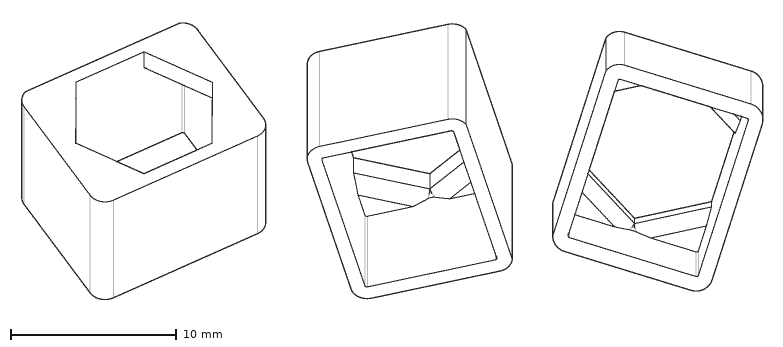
import cadquery as cq
import math

width = 10.02
length = 12.1
height = 9.3
corner_radius = 1.03
side_trim = 0.06

hex_across_flats = 8.25
hex_depth = 1.5

flare_height = 0.9

cavity_width = hex_across_flats
cavity_length = 10.27
cavity_corner_radius = 0.12


def hexagon(across_flats, z):
    """Hexagon at height z with its corners on the Y axis."""
    across_corners = across_flats / math.cos(math.pi / 6)
    return (
        cq.Workplane("XY")
        .workplane(offset=z)
        .transformed(rotate=(0, 0, 90))
        .polygon(6, across_corners)
    )


def rounded_box(size_x, size_y, size_z, radius):
    """Box standing on z = 0 with rounded vertical edges."""
    return (
        cq.Workplane("XY")
        .box(size_x, size_y, size_z, centered=(True, True, False))
        .edges("|Z")
        .fillet(radius)
    )


def outer_block():
    rounded = rounded_box(width + side_trim, length, height, corner_radius)
    rounded = rounded.translate((-side_trim / 2, 0, 0))
    envelope = cq.Workplane("XY").box(width, length, height, centered=(True, True, False))
    return rounded.intersect(envelope)


hex_bottom = height - hex_depth
cavity_top = hex_bottom - flare_height

hex_hole = hexagon(hex_across_flats, hex_bottom).extrude(hex_depth)
cavity = rounded_box(cavity_width, cavity_length, hex_bottom, cavity_corner_radius)

flare = hexagon(hex_across_flats, hex_bottom).extrude(-flare_height, taper=-45)
flare = flare.intersect(cavity)
lower_cavity = rounded_box(cavity_width, cavity_length, cavity_top, cavity_corner_radius)

result = outer_block().cut(hex_hole).cut(flare).cut(lower_cavity)